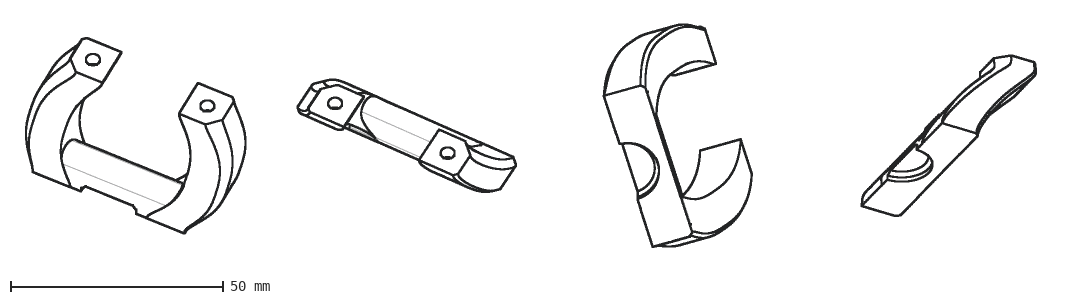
import cadquery as cq
import math

overall_width = 51.9
overall_depth = 24.95
height = 24.25

arm_side = 10.0
arm_lean = overall_depth - arm_side
bulge_height = 11.4
bulge_roundness = 1.4
top_inset = 5.85
left_foot_inset = 4.9
right_foot_inset = 6.9
front_chamfer = 3.0
chamfer_at_foot = 0.05
chamfer_plateau = 0.65
rear_chamfer = 0.9
section_count = 15

hole_diameter = 3.3
hole_depth = 4.0

bar_height = 7.15
bar_front_height = 5.3
bar_crest_y = 5.7
bar_shoulder = (8.15, 6.6)
bar_rear = 10.25
bar_rear_height = 1.85
bar_end_cover = 2.5
bar_setback = 0.05
bar_rear_foot = 9.95

recess_radius = 7.25
recess_wall_height = 1.2
recess_height = 2.2
recess_x = -1.05


def ease(t):
    """Rise from 0 to 1, level at both ends."""
    return t * t * (3 - 2 * t)


def lean_at(z):
    return arm_lean * ease(z / height)


def inset_at(z, foot_inset):
    """Distance of the outer side in from the widest point."""
    if z > bulge_height:
        reach = (z - bulge_height) / (height - bulge_height)
        return top_inset * ease(reach**bulge_roundness)
    reach = (bulge_height - z) / bulge_height
    return foot_inset * ease(reach**bulge_roundness)


def front_chamfer_at(z):
    """Quick growth at the foot, a plateau, then quick growth to the top."""
    rise = math.sin(math.pi / 2 * min(z / bulge_height, 1))
    finish = ease(max(z - bulge_height, 0) / (height - bulge_height))
    share = chamfer_plateau * rise + (1 - chamfer_plateau) * finish
    return max(front_chamfer * share, chamfer_at_foot)


def arm_section(z, foot_inset):
    outer = overall_width / 2 - inset_at(z, foot_inset)
    inner = outer - arm_side
    front = lean_at(z)
    rear = front + arm_side
    chamfer = front_chamfer_at(z)
    corners = [
        (inner, front),
        (outer - chamfer, front),
        (outer, front + chamfer),
        (outer, rear - rear_chamfer),
        (outer - rear_chamfer, rear),
        (inner, rear),
    ]
    return cq.Wire.makePolygon([cq.Vector(x, y, z) for x, y in corners], close=True)


def make_arm(foot_inset):
    """Arm on the +X side."""
    levels = [height * i / (section_count - 1) for i in range(section_count)]
    sections = [arm_section(z, foot_inset) for z in levels]
    return cq.Workplane(cq.Solid.makeLoft(sections))


def make_bar():
    """Crossbar with the arms' leaning front and a rounded top."""
    left_end = -overall_width / 2 + left_foot_inset + bar_end_cover
    right_end = overall_width / 2 - right_foot_inset - bar_end_cover
    front_levels = [bar_front_height * share for share in (0.25, 0.5, 0.75, 1)]
    front_points = [(bar_setback + lean_at(z), z) for z in front_levels]
    slope = lean_at(bar_front_height) - lean_at(bar_front_height * 0.95)
    front_tangent = (slope, bar_front_height * 0.05)
    shoulder_tangent = (bar_shoulder[0] - bar_crest_y, -2 * (bar_height - bar_shoulder[1]))
    return (
        cq.Workplane("YZ", origin=(left_end, 0, 0))
        .moveTo(bar_setback, 0)
        .spline(front_points, tangents=[(0, 1), front_tangent], includeCurrent=True)
        .spline(
            [(bar_crest_y, bar_height), bar_shoulder],
            tangents=[front_tangent, shoulder_tangent],
            includeCurrent=True,
        )
        .spline(
            [(bar_rear, bar_rear_height)],
            tangents=[shoulder_tangent, (0, -1)],
            includeCurrent=True,
        )
        .lineTo(bar_rear_foot, 0)
        .close()
        .extrude(right_end - left_end)
    )


def make_recess():
    """Short cylinder with a 45 degree conical top edge."""
    return (
        cq.Workplane("XY", origin=(recess_x, 0, 0))
        .circle(recess_radius)
        .extrude(recess_height)
        .faces(">Z")
        .chamfer(recess_height - recess_wall_height)
    )


def make_hole(side):
    hole_x = side * (overall_width / 2 - top_inset - arm_side / 2)
    hole_y = arm_lean + arm_side / 2
    return (
        cq.Workplane("XY", origin=(hole_x, hole_y, height))
        .circle(hole_diameter / 2)
        .extrude(-hole_depth)
    )


left_arm = make_arm(left_foot_inset).mirror("YZ")
right_arm = make_arm(right_foot_inset)
bracket = make_bar().cut(make_recess()).union(left_arm).union(right_arm)
for side in (-1, 1):
    bracket = bracket.cut(make_hole(side))

result = bracket